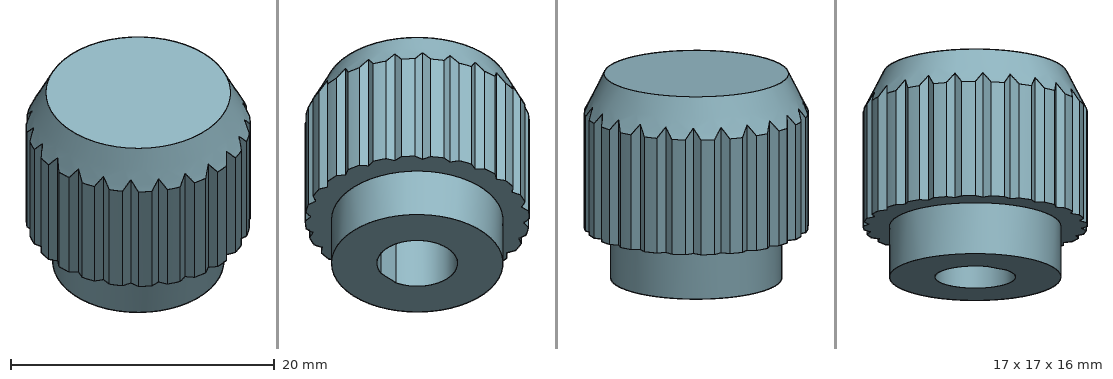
import cadquery as cq
import math

overall_width = 16.96
height = 16.0
top_diameter = 14.0
taper_start_height = 12.99

collar_diameter = 13.0
collar_height = 4.0

groove_count = 24
groove_half_width = 0.6
groove_root_radius = 8.09

bore_diameter = 6.1
bore_flat_distance = 2.93
cap_thickness = 1.0

grip_radius = math.hypot(overall_width / 2, groove_half_width)
collar_radius = collar_diameter / 2
bore_depth = height - cap_thickness


def make_body():
    """Revolve the collar, the straight grip and its tapered top."""
    profile = [
        (0, 0),
        (collar_radius, 0),
        (collar_radius, collar_height),
        (grip_radius, collar_height),
        (grip_radius, taper_start_height),
        (top_diameter / 2, height),
        (0, height),
    ]
    return cq.Workplane("XZ").polyline(profile).close().revolve(360, (0, 0), (0, 1))


def make_groove(angle):
    """V-shaped cutter whose sides pass through the two groove edges and run on outside the grip."""
    overshoot = 2.0
    outer_x = overall_width / 2 * overshoot - groove_root_radius * (overshoot - 1)
    outer_y = groove_half_width * overshoot
    outline = [(groove_root_radius, 0), (outer_x, outer_y), (outer_x, -outer_y)]
    cutter = cq.Workplane("XY").workplane(offset=collar_height).polyline(outline).close()
    return cutter.extrude(height - collar_height).rotate((0, 0, 0), (0, 0, 1), angle)


def make_bore():
    """Round shaft bore with a narrow flat on its +X side."""
    bore = cq.Workplane("XY").circle(bore_diameter / 2).extrude(bore_depth)
    beyond_flat = (
        cq.Workplane("XY")
        .box(bore_diameter, bore_diameter, bore_depth, centered=(False, True, False))
        .translate((bore_flat_distance, 0, 0))
    )
    return bore.cut(beyond_flat)


result = make_body()
for index in range(groove_count):
    result = result.cut(make_groove(index * 360 / groove_count))
result = result.cut(make_bore())